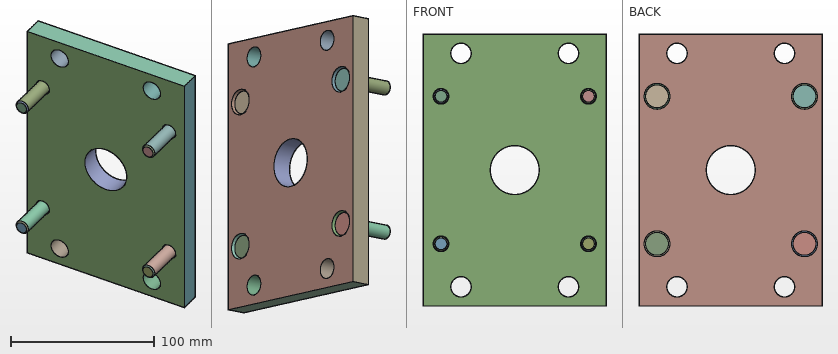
import cadquery as cq

plate_width = 128.0
plate_height = 190.0
plate_thickness = 15.0

bore_diameter = 34.0
mount_hole_diameter = 14.0
mount_hole_spacing_x = 75.0
mount_hole_spacing_z = 163.0

screw_spacing = 103.0
shank_diameter = 10.0
shank_reach = 28.5
tip_chamfer = 1.0
head_diameter = 16.0
head_height = 6.5

clearance_diameter = 11.0
counterbore_diameter = 18.0
counterbore_depth = 8.5
seat_y = plate_thickness - counterbore_depth


def corner_points(spacing_x, spacing_z):
    """Four points at the corners of a rectangle centred on the plate."""
    return [(side * spacing_x / 2, level * spacing_z / 2) for side in (-1, 1) for level in (-1, 1)]


def cylinders(points, diameter, front_y, back_y):
    """Cylinders along Y from front_y to back_y, one at each (X, Z) point."""
    return (
        cq.Workplane("XZ", origin=(0, front_y, 0))
        .pushPoints(points)
        .circle(diameter / 2)
        .extrude(front_y - back_y)
    )


def make_plate(screw_points):
    """Rectangular plate with a central bore, mounting holes and counterbored screw holes."""
    blank = cq.Workplane("XZ").rect(plate_width, plate_height).extrude(-plate_thickness)
    mount_points = corner_points(mount_hole_spacing_x, mount_hole_spacing_z)
    return (
        blank.cut(cylinders([(0, 0)], bore_diameter, 0, plate_thickness))
        .cut(cylinders(mount_points, mount_hole_diameter, 0, plate_thickness))
        .cut(cylinders(screw_points, clearance_diameter, 0, plate_thickness))
        .cut(cylinders(screw_points, counterbore_diameter, seat_y, plate_thickness))
    )


def make_screw(point):
    """Cylindrical-head screw with a chamfered tip, its head resting on the counterbore floor."""
    shank = cylinders([point], shank_diameter, -shank_reach, seat_y).faces("<Y").chamfer(tip_chamfer)
    head = cylinders([point], head_diameter, seat_y, seat_y + head_height)
    return shank.union(head)


screw_points = corner_points(screw_spacing, screw_spacing)
plate = make_plate(screw_points)
screws = [make_screw(point) for point in screw_points]

result = cq.Compound.makeCompound([plate.solids().val(), *[screw.solids().val() for screw in screws]])